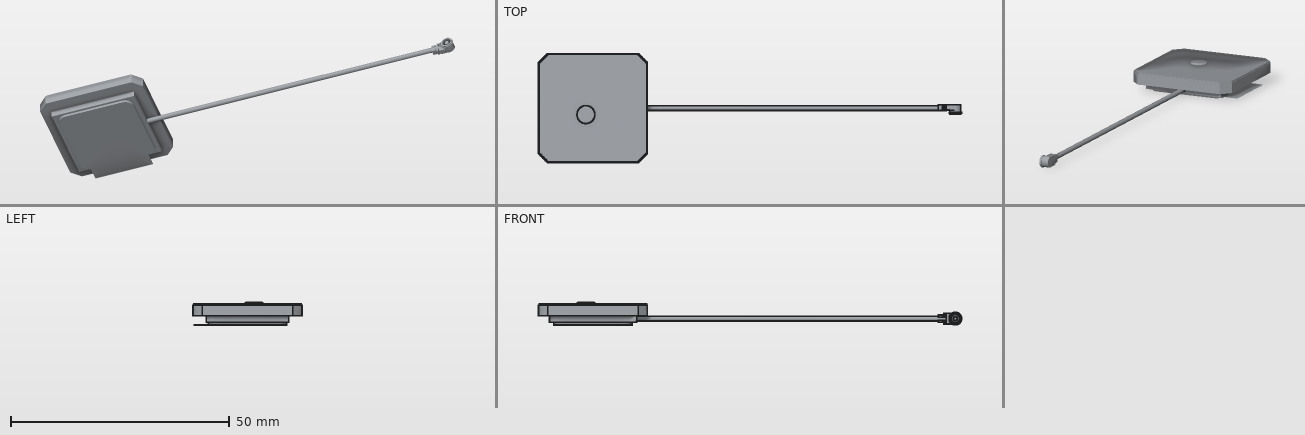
import cadquery as cq
import math

patch_size = 25.0
patch_corner = 2.1
patch_bottom = 2.1
patch_top = 4.85
electrode_thickness = 0.3
electrode_inset = 0.15
module_x = patch_size / 2

shield_length = 20.0
shield_width = 19.0

pad_size = 18.0
pad_corner_radius = 2.0
pad_thickness = 0.6
tab_width = pad_size - 2 * pad_corner_radius
tab_reach = 12.2
tab_thickness = 0.05

solder_x = 10.9
solder_y = -1.5
solder_base_radius = 2.05
solder_top_radius = 1.55
overall_height = 5.23
solder_height = overall_height - patch_top

overall_length = 97.0
cable_radius = 0.58
cable_z = 1.46
cable_start = module_x + shield_length / 2

lip_radius = 1.45
lip_back = -0.9
lip_front = -1.15
head_radius = 1.3
head_back = 0.8
head_front = -1.4
head_x = overall_length - lip_radius
socket_radius = 1.0
socket_depth = 1.4
contact_radius = 0.45
contact_recess = 0.2

strap_thickness = 0.4
strap_width = 1.7
jacket_crimp_start = 91.65
jacket_crimp_length = 0.95
jacket_crimp_height = 1.75
braid_crimp_length = 0.35
clamp_height = 2.5
crimp_gap = 0.25
crimp_front = -0.45
braid_crimp_start = jacket_crimp_start + jacket_crimp_length + crimp_gap
clamp_start = braid_crimp_start + braid_crimp_length + crimp_gap


def chamfered_plate(size, bottom, top):
    """Square plate on the module axis with its four upright corners cut off."""
    return (
        cq.Workplane("XY", origin=(module_x, 0, bottom))
        .rect(size, size)
        .extrude(top - bottom)
        .edges("|Z")
        .chamfer(patch_corner)
    )


def make_solder_bump():
    """Flat-topped disc with a rounded flank, where the feed pin is soldered."""
    flank_run = solder_base_radius - solder_top_radius
    flank_middle = (
        solder_top_radius + flank_run * math.cos(math.pi / 4),
        solder_height * math.sin(math.pi / 4),
    )
    return (
        cq.Workplane("XZ", origin=(solder_x, solder_y, patch_top))
        .lineTo(solder_base_radius, 0)
        .threePointArc(flank_middle, (solder_top_radius, solder_height))
        .lineTo(0, solder_height)
        .close()
        .revolve(360, (0, 0, 0), (0, 1, 0))
    )


def make_adhesive_pad():
    """Rounded pad under the shield, with a thin pull tab on the +Y side."""
    pad = (
        cq.Workplane("XY", origin=(module_x, 0, 0))
        .rect(pad_size, pad_size)
        .extrude(pad_thickness)
        .edges("|Z")
        .fillet(pad_corner_radius)
    )
    tab = cq.Workplane("XY").box(tab_width, tab_reach, tab_thickness, centered=(True, False, False))
    return pad.union(tab.translate((module_x, 0, 0)))


def make_antenna():
    electrode_bottom = patch_top - electrode_thickness
    ceramic = chamfered_plate(patch_size, patch_bottom, electrode_bottom)
    electrode = chamfered_plate(patch_size - 2 * electrode_inset, electrode_bottom, patch_top)
    shield = (
        cq.Workplane("XY", origin=(module_x, 0, pad_thickness))
        .rect(shield_length, shield_width)
        .extrude(patch_bottom - pad_thickness)
    )
    return ceramic.union(electrode).union(make_solder_bump()).union(shield).union(make_adhesive_pad())


def plug_disc(radius, back, front):
    """Cylinder on the plug axis, from Y = back to Y = front."""
    return cq.Workplane("XZ", origin=(head_x, back, cable_z)).circle(radius).extrude(back - front)


def make_plug_head():
    """Round shell with a snap lip, the socket to cut into it from -Y, and its centre contact."""
    shell = plug_disc(head_radius, head_back, head_front).union(plug_disc(lip_radius, lip_back, lip_front))
    socket_floor = head_front + socket_depth
    contact = plug_disc(contact_radius, socket_floor, head_front + contact_recess)
    return shell, plug_disc(socket_radius, socket_floor, head_front), contact


def plug_block(start, end, front, height):
    """Block centred on the cable in Z, reaching from the flat back of the plug to Y = front."""
    return (
        cq.Workplane("XY", origin=(start, front, cable_z))
        .box(end - start, head_back - front, height, centered=(False, False, True))
    )


def make_crimps():
    """Jacket crimp, braid crimp and head clamp, joined along the back by a flat strap."""
    jacket_crimp = plug_block(
        jacket_crimp_start, jacket_crimp_start + jacket_crimp_length, crimp_front, jacket_crimp_height
    )
    braid_crimp = plug_block(
        braid_crimp_start, braid_crimp_start + braid_crimp_length, crimp_front, clamp_height
    )
    clamp = plug_block(clamp_start, head_x, crimp_front, clamp_height)
    strap = plug_block(jacket_crimp_start, head_x, head_back - strap_thickness, strap_width)
    return jacket_crimp.union(braid_crimp).union(clamp).union(strap)


def make_cable():
    wire = (
        cq.Workplane("YZ", origin=(cable_start, 0, cable_z))
        .circle(cable_radius)
        .extrude(clamp_start - cable_start)
    )
    shell, socket, contact = make_plug_head()
    plug = make_crimps().union(shell).cut(socket).union(contact)
    return wire.union(plug)


antenna = make_antenna()
cable = make_cable()

result = cq.Compound.makeCompound([antenna.val(), cable.val()])